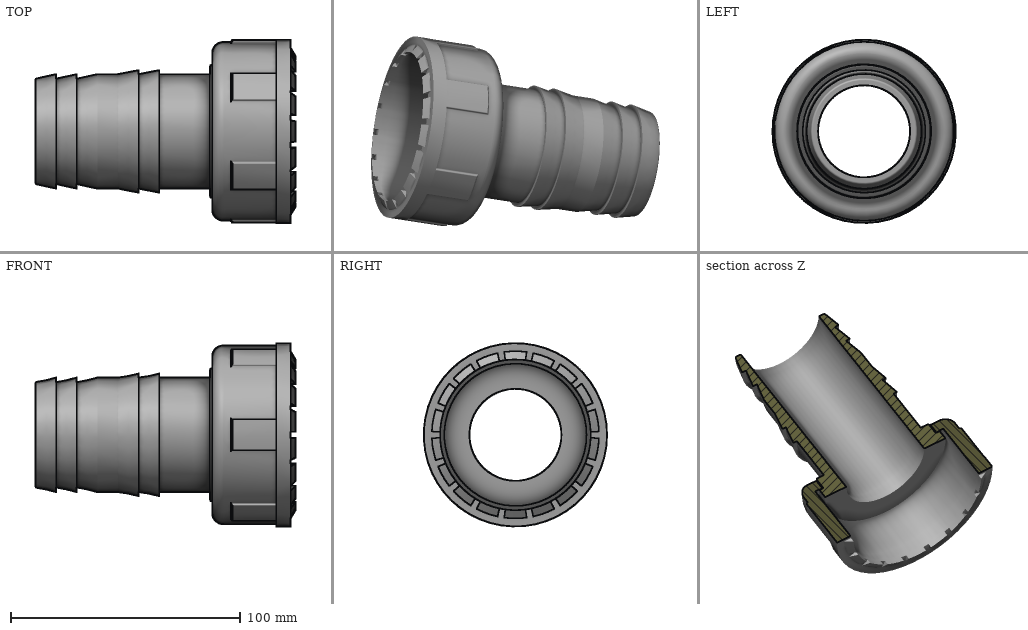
import cadquery as cq

bore_diameter = 40.0
neck_diameter = 50.0
barb_root_diameter = 46.0
large_barb_diameter = 53.5
barb_pitch = 9.0
small_barb_count = 3
large_barb_count = 2
hose_end_fillet = 0.9
collar_diameter = 58.0
collar_start = 76.1
collar_fillet = 0.8
flange_diameter = 62.0
flange_thickness = 5.0

overall_length = 113.41
nut_start = 77.0
nut_diameter = 78.0
nut_shoulder_radius = 5.0
nut_neck_hole_diameter = 58.5
nut_front_wall = 5.0
thread_bore_diameter = 65.71
rim_diameter = 80.0
rim_length = 6.3

tooth_count = 18
tooth_height = 2.2
tooth_root_diameter = 72.9
tooth_gap_angle = 4.6

pad_count = 6
pad_diameter = 79.85
pad_width = 13.5
pad_edge_radius = 0.45
pad_foot_radius = 0.45
pad_start = 85.5
pad_sunk_depth = 1.0

nut_end = overall_length - tooth_height
rim_start = nut_end - rim_length
flange_start = nut_start + nut_front_wall


def revolve_about_x(profile, angle=360.0):
    """Revolve a profile drawn in the XY plane about the X axis."""
    return profile.close().revolve(angle, (0, 0, 0), (1, 0, 0))


def make_hose_tail():
    bore_radius = bore_diameter / 2
    neck_radius = neck_diameter / 2
    root_radius = barb_root_diameter / 2
    flange_end = flange_start + flange_thickness
    large_barbs_start = (small_barb_count + 1) * barb_pitch
    large_barbs_end = large_barbs_start + large_barb_count * barb_pitch

    profile = cq.Workplane("XY").moveTo(0, bore_radius)
    for index in range(small_barb_count):
        profile = profile.lineTo(index * barb_pitch, root_radius)
        profile = profile.lineTo((index + 1) * barb_pitch, neck_radius)
    for index in range(large_barb_count):
        barb_start = large_barbs_start + index * barb_pitch
        profile = profile.lineTo(barb_start, neck_radius)
        profile = profile.lineTo(barb_start + barb_pitch, large_barb_diameter / 2)
    profile = (
        profile.lineTo(large_barbs_end, neck_radius)
        .lineTo(collar_start, neck_radius)
        .lineTo(collar_start, collar_diameter / 2 - collar_fillet)
        .radiusArc((collar_start + collar_fillet, collar_diameter / 2), collar_fillet)
        .lineTo(flange_start, collar_diameter / 2)
        .lineTo(flange_start, flange_diameter / 2)
        .lineTo(flange_end, flange_diameter / 2)
        .lineTo(flange_end, bore_radius)
    )
    tail = revolve_about_x(profile)
    hose_end_rim = cq.selectors.RadiusNthSelector(-1)
    return tail.faces("<X").edges(hose_end_rim).fillet(hose_end_fillet)


def make_nut_cap():
    """Smooth part of the nut, from its front wall to the rim."""
    nut_radius = nut_diameter / 2
    profile = (
        cq.Workplane("XY")
        .moveTo(nut_start, nut_neck_hole_diameter / 2)
        .lineTo(nut_start, nut_radius - nut_shoulder_radius)
        .radiusArc((nut_start + nut_shoulder_radius, nut_radius), nut_shoulder_radius)
        .lineTo(rim_start, nut_radius)
        .lineTo(rim_start, thread_bore_diameter / 2)
        .lineTo(flange_start, thread_bore_diameter / 2)
        .lineTo(flange_start, nut_neck_hole_diameter / 2)
    )
    return revolve_about_x(profile)


def make_rim():
    return (
        cq.Workplane("YZ", origin=(rim_start, 0, 0))
        .circle(rim_diameter / 2)
        .circle(thread_bore_diameter / 2)
        .extrude(rim_length)
    )


def make_pad():
    """One raised grip pad on the -Y side, with its free top edges rounded."""
    length = rim_start - pad_start
    block = cq.Workplane("XY").box(
        length, rim_diameter / 2, pad_width, centered=(False, False, True)
    ).translate((pad_start, -rim_diameter / 2, 0))
    sleeve = (
        cq.Workplane("YZ", origin=(pad_start, 0, 0))
        .circle(pad_diameter / 2)
        .circle(nut_diameter / 2 - pad_sunk_depth)
        .extrude(length)
    )
    pad = block.intersect(sleeve)
    return pad.faces("<Y").edges("|X or <X").fillet(pad_edge_radius)


def is_pad_foot(edge):
    """True for an edge where a pad's side or end wall meets the nut cylinder."""
    tolerance = 0.001
    box = edge.BoundingBox()
    if box.xmin < pad_start - tolerance or box.xmin > rim_start - tolerance:
        return False
    return all(
        abs((vertex.Y**2 + vertex.Z**2) ** 0.5 - nut_diameter / 2) < tolerance
        for vertex in edge.Vertices()
    )


def make_tooth():
    """One tapered tooth, starting half a gap away from the -Y direction."""
    profile = (
        cq.Workplane("XY")
        .moveTo(nut_end, -thread_bore_diameter / 2)
        .lineTo(nut_end, -tooth_root_diameter / 2)
        .lineTo(overall_length, -thread_bore_diameter / 2)
    )
    tooth = revolve_about_x(profile, 360.0 / tooth_count - tooth_gap_angle)
    return tooth.rotate((0, 0, 0), (1, 0, 0), tooth_gap_angle / 2)


def add_around_axis(body, feature, count):
    """Join equally spaced copies of a feature around the X axis to a body."""
    for index in range(count):
        body = body.union(feature.rotate((0, 0, 0), (1, 0, 0), index * 360.0 / count))
    return body


def make_nut():
    cap = add_around_axis(make_nut_cap(), make_pad(), pad_count)
    foot_edges = [edge for edge in cap.edges().vals() if is_pad_foot(edge)]
    cap = cap.newObject(foot_edges).fillet(pad_foot_radius)
    return add_around_axis(cap.union(make_rim()), make_tooth(), tooth_count)


hose_tail = make_hose_tail()
nut = make_nut()
result = cq.Compound.makeCompound([hose_tail.val(), nut.val()])